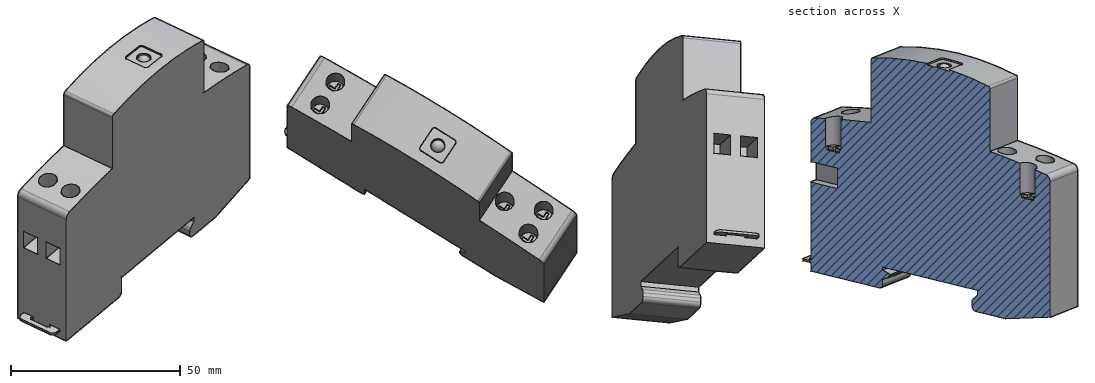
import cadquery as cq
import math

width = 18.0
depth = 90.0
height = 73.5
half_width = width / 2
half_depth = depth / 2

head_half_depth = 22.4
head_radius = 98.0
head_front_fillet = 1.0
head_back_fillet = 0.7
shoulder_top = 50.9
shoulder_radius = 240.0
shoulder_edge_fillet = 2.0

notch_top = 6.7
hook_wall_y = 17.5
hook_tip_y = 15.5
hook_bevel_top = 5.2
hook_bevel_bottom = 3.3
hook_bevel_fillet = 1.5
clip_wall_y = -17.85
foot_fillet = 1.5
underside_bevel_y = 28.2
underside_bevel_height = 3.9

terminal_x = 4.17
screw_row_y = 36.5
centre_screw_y = 25.5
screw_hole_diameter = 5.5
screw_head_z = 40.0
cross_length = 4.4
cross_width = 0.9
cross_depth = 1.0
entry_width = 5.2
entry_bottom = 27.8
entry_top = 34.0
entry_depth = 10.0

lamp_x = 1.45
lamp_y = 3.0
window_size = 8.2
window_corner_radius = 0.8
window_depth = 0.5
lamp_diameter = 4.2

clip_width = 13.3
clip_thickness = 0.75
clip_mid_z = 3.0
clip_reach = 3.0
clip_corner_radius = 1.5
clip_slot_length = 7.1
clip_slot_width = 1.4
clip_slot_y = -half_depth - clip_slot_width / 2
latch_root_depth = 1.0
latch_root_y = clip_wall_y - latch_root_depth
latch_tip_y = -15.0
latch_tip_z = 5.1
latch_top_z = 5.95
latch_knee_y = -16.1
latch_knee_z = 3.7
latch_bottom_z = 2.95


def arc_height(y, apex_z, radius):
    """Height at y of an arc that peaks at apex_z over y = 0."""
    return apex_z - radius + math.sqrt(radius**2 - y**2)


shoulder_apex = shoulder_top + shoulder_radius - math.sqrt(shoulder_radius**2 - head_half_depth**2)


def shoulder_point(y):
    return (y, arc_height(y, shoulder_apex, shoulder_radius))


def edges_at(y, z):
    """Selector for the edge along X that passes through (y, z)."""
    return cq.selectors.NearestToPointSelector((0, y, z))


def make_body():
    head_edge_z = arc_height(head_half_depth, height, head_radius)
    shoulder_mid_y = (head_half_depth + half_depth) / 2
    body = (
        cq.Workplane("YZ")
        .moveTo(-half_depth, 0)
        .lineTo(*shoulder_point(-half_depth))
        .threePointArc(shoulder_point(-shoulder_mid_y), shoulder_point(-head_half_depth))
        .lineTo(-head_half_depth, head_edge_z)
        .threePointArc((0, height), (head_half_depth, head_edge_z))
        .lineTo(*shoulder_point(head_half_depth))
        .threePointArc(shoulder_point(shoulder_mid_y), shoulder_point(half_depth))
        .lineTo(half_depth, underside_bevel_height)
        .lineTo(underside_bevel_y, 0)
        .lineTo(hook_tip_y, 0)
        .lineTo(hook_tip_y, hook_bevel_bottom)
        .lineTo(hook_wall_y, hook_bevel_top)
        .lineTo(hook_wall_y, notch_top)
        .lineTo(clip_wall_y, notch_top)
        .lineTo(clip_wall_y, 0)
        .close()
        .extrude(half_width, both=True)
    )
    for side, head_fillet in ((-1, head_front_fillet), (1, head_back_fillet)):
        body = body.edges(edges_at(side * head_half_depth, head_edge_z)).fillet(head_fillet)
        body = body.edges(edges_at(*shoulder_point(side * half_depth))).fillet(shoulder_edge_fillet)
    body = body.edges(edges_at(hook_tip_y, hook_bevel_bottom)).fillet(hook_bevel_fillet)
    for y in (hook_tip_y, clip_wall_y):
        body = body.edges(edges_at(y, 0)).fillet(foot_fillet)
    return body


def screw_recesses():
    """Screw shafts from above, each ending on a screw head with a cross slot."""
    positions = [(x, y) for x in (-terminal_x, terminal_x) for y in (-screw_row_y, screw_row_y)]
    positions.append((0, centre_screw_y))
    seat = cq.Workplane("XY", origin=(0, 0, screw_head_z)).pushPoints(positions)
    recesses = seat.circle(screw_hole_diameter / 2).extrude(shoulder_apex - screw_head_z)
    for size_x, size_y in ((cross_length, cross_width), (cross_width, cross_length)):
        recesses = recesses.union(seat.rect(size_x, size_y).extrude(-cross_depth))
    return recesses


def wire_entries():
    return (
        cq.Workplane("XZ", origin=(0, -half_depth, (entry_bottom + entry_top) / 2))
        .pushPoints([(-terminal_x, 0), (terminal_x, 0)])
        .rect(entry_width, entry_top - entry_bottom)
        .extrude(-entry_depth)
    )


def indicator_window():
    """Rounded square pocket whose floor runs parallel to the curved head."""
    floor_radius = head_radius - window_depth
    floor_cylinder = (
        cq.Workplane("YZ", origin=(-half_width, 0, height - head_radius))
        .circle(floor_radius)
        .extrude(width)
    )
    return (
        cq.Workplane("XY", origin=(lamp_x, lamp_y, shoulder_top))
        .rect(window_size, window_size)
        .extrude(height)
        .edges("|Z")
        .fillet(window_corner_radius)
        .cut(floor_cylinder)
    )


lamp_top_z = arc_height(lamp_y, height, head_radius)
lamp_centre_z = lamp_top_z - lamp_diameter / 2


def lamp_bore():
    return (
        cq.Workplane("XY", origin=(lamp_x, lamp_y, lamp_centre_z))
        .circle(lamp_diameter / 2)
        .extrude(lamp_diameter)
    )


def lamp():
    """Dome sunk in its bore, its top level with the head around the window."""
    return cq.Workplane("XY", origin=(lamp_x, lamp_y, lamp_centre_z)).sphere(lamp_diameter / 2)


def rail_clip():
    """Pull tab at the front of the foot and sprung latch inside the rail notch."""
    tab_end_y = -half_depth - clip_reach
    tab = (
        cq.Workplane("XY", origin=(0, 0, clip_mid_z - clip_thickness / 2))
        .moveTo(0, (tab_end_y + clip_wall_y) / 2)
        .rect(clip_width, clip_wall_y - tab_end_y)
        .extrude(clip_thickness)
        .edges("|Z and <Y")
        .fillet(clip_corner_radius)
    )
    latch = (
        cq.Workplane("YZ")
        .polyline([
            (latch_root_y, latch_top_z),
            (clip_wall_y, latch_top_z),
            (latch_tip_y, latch_tip_z),
            (latch_knee_y, latch_knee_z),
            (clip_wall_y, latch_bottom_z),
            (latch_root_y, latch_bottom_z),
        ])
        .close()
        .extrude(clip_width / 2, both=True)
    )
    return tab.union(latch)


def clip_slot():
    return (
        cq.Workplane("XY", origin=(0, clip_slot_y, clip_mid_z))
        .slot2D(clip_slot_length, clip_slot_width)
        .extrude(clip_thickness, both=True)
    )


result = (
    make_body()
    .cut(screw_recesses())
    .cut(wire_entries())
    .cut(indicator_window())
    .cut(lamp_bore())
    .union(lamp())
    .union(rail_clip())
    .cut(clip_slot())
)